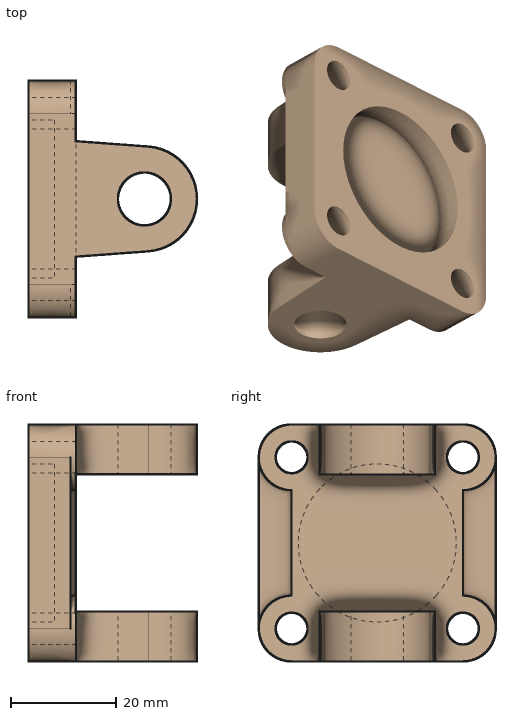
import cadquery as cq
import math

plate_side = 45.0
plate_thickness = 9.0
corner_radius = 6.25
hole_diameter = 6.0
hole_offset = plate_side / 2 - corner_radius

pocket_diameter = 30.0
pocket_depth = 5.0

relief_depth = 1.0
pad_edge = hole_offset - corner_radius

lug_thickness = 9.5
lug_root_half_width = 11.0
lug_radius = 10.0
pin_diameter = 10.0
pin_x = 22.0


def make_plate():
    plate = cq.Workplane("YZ").rect(plate_side, plate_side).extrude(plate_thickness)
    plate = plate.edges("|X").fillet(corner_radius)
    holes = (
        cq.Workplane("YZ")
        .rect(2 * hole_offset, 2 * hole_offset, forConstruction=True)
        .vertices()
        .circle(hole_diameter / 2)
        .extrude(plate_thickness)
    )
    pocket = cq.Workplane("YZ").circle(pocket_diameter / 2).extrude(pocket_depth)
    return plate.cut(holes).cut(pocket)


def make_relief(side):
    """Cutter between two round pads; side is +1 or -1 along Y."""
    outer_y = side * plate_side / 2
    inner_y = side * hole_offset
    arc_y = side * (hole_offset + corner_radius * math.sqrt(0.5))
    arc_z = hole_offset - corner_radius * math.sqrt(0.5)
    return (
        cq.Workplane("YZ", origin=(plate_thickness - relief_depth, 0, 0))
        .moveTo(inner_y, -pad_edge)
        .threePointArc((arc_y, -arc_z), (outer_y, -hole_offset))
        .lineTo(outer_y, hole_offset)
        .threePointArc((arc_y, arc_z), (inner_y, pad_edge))
        .close()
        .extrude(relief_depth)
    )


def make_lug(bottom_z):
    """Tapered lug whose straight sides run tangent into its round end."""
    reach = pin_x - plate_thickness
    root_distance = math.hypot(reach, lug_root_half_width)
    tangent_angle = (
        math.pi
        - math.atan2(lug_root_half_width, reach)
        - math.acos(lug_radius / root_distance)
    )
    tangent_x = pin_x + lug_radius * math.cos(tangent_angle)
    tangent_y = lug_radius * math.sin(tangent_angle)
    lug = (
        cq.Workplane("XY", origin=(0, 0, bottom_z))
        .moveTo(plate_thickness, -lug_root_half_width)
        .lineTo(tangent_x, -tangent_y)
        .threePointArc((pin_x + lug_radius, 0), (tangent_x, tangent_y))
        .lineTo(plate_thickness, lug_root_half_width)
        .close()
        .extrude(lug_thickness)
    )
    pin_hole = (
        cq.Workplane("XY", origin=(pin_x, 0, bottom_z))
        .circle(pin_diameter / 2)
        .extrude(lug_thickness)
    )
    return lug.cut(pin_hole)


result = make_plate()
for side in (-1, 1):
    result = result.cut(make_relief(side))
for bottom_z in (-plate_side / 2, plate_side / 2 - lug_thickness):
    result = result.union(make_lug(bottom_z))